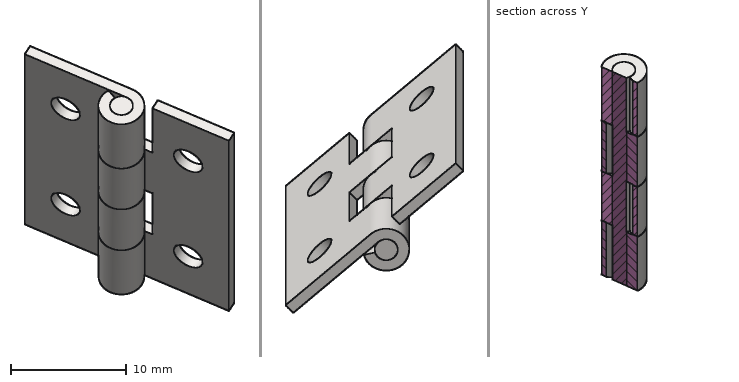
import cadquery as cq
import math

height = 25.0
open_width = 20.0
sheet = 1.0
pin_radius = 1.0
inner_knuckle = 6.0
relief_edge = 2.5
curl_end_angle = 28.0
hole_diameter = 2.8
hole_x = 6.0
hole_z = 7.0

barrel_radius = pin_radius + sheet
half_width = open_width / 2
half_height = height / 2


def curl_point(radius, degrees):
    """Point on a circle about the pin axis, in the XY plane."""
    angle = math.radians(degrees)
    return (radius * math.cos(angle), radius * math.sin(angle))


def make_rolled_sheet():
    """Full-height sheet running along -X and rolled clockwise around the pin."""
    free_end = 180 - curl_end_angle
    return (
        cq.Workplane("XY", origin=(0, 0, -half_height))
        .moveTo(-half_width, barrel_radius)
        .lineTo(0, barrel_radius)
        .threePointArc((0, -barrel_radius), curl_point(barrel_radius, free_end))
        .lineTo(*curl_point(pin_radius, free_end))
        .threePointArc((0, -pin_radius), (0, pin_radius))
        .lineTo(-half_width, pin_radius)
        .close()
        .extrude(height)
    )


def make_relief(bottom, top):
    """Block that clears the opposite leaf's knuckle between two heights."""
    return cq.Workplane("XY").box(
        relief_edge + barrel_radius, 2 * barrel_radius, top - bottom, centered=(False, True, False)
    ).translate((-relief_edge, 0, bottom))


def make_leaf():
    """Left leaf, with its knuckles at the top and just below mid-height."""
    leaf = make_rolled_sheet()
    leaf = leaf.cut(make_relief(0, inner_knuckle))
    leaf = leaf.cut(make_relief(-half_height, -inner_knuckle))
    screw_holes = (
        cq.Workplane("XZ", origin=(0, barrel_radius, 0))
        .pushPoints([(-hole_x, -hole_z), (-hole_x, hole_z)])
        .circle(hole_diameter / 2)
        .extrude(sheet)
    )
    return leaf.cut(screw_holes)


def make_pin():
    return cq.Workplane("XY").circle(pin_radius).extrude(half_height, both=True)


leaves = [make_leaf().rotate((0, 0, 0), (0, 1, 0), turn) for turn in (0, 180)]
pin = make_pin()

result = cq.Compound.makeCompound([*[leaf.val() for leaf in leaves], pin.val()])